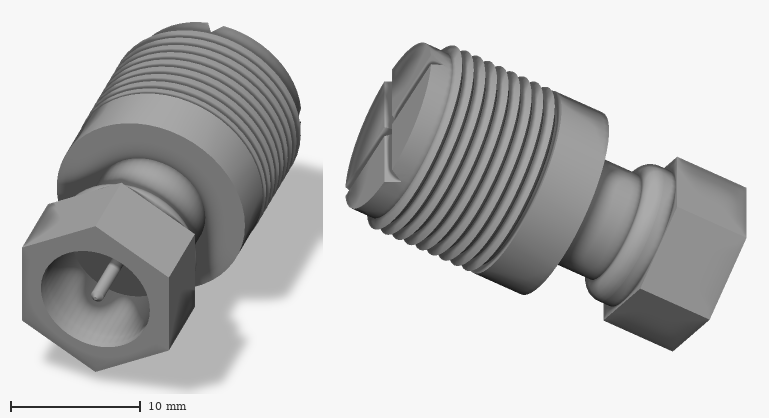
import cadquery as cq
import math


total_length = 28.17
hex_length = 6.08
shoulder_length = 1.01
dome_radius = 1.27
neck_length = 4.6
collar_length = 4.17

hex_flat_width = 12.0
shoulder_radius = 5.72
neck_radius = 4.45
collar_radius = 7.7
barrel_radius = 7.0

ring_count = 9
ring_pitch = 1.01
ring_crest_radius = 7.75
ring_flank_angle = 30.0
first_crest_setback = 2.3

notch_width = 1.27
notch_depth = 1.15

socket_radius = neck_radius
pin_radius = 0.5
pin_setback = 0.05
pin_tip_chamfer = 0.37

shoulder_end = hex_length + shoulder_length
neck_start = shoulder_end + dome_radius
collar_start = neck_start + neck_length
barrel_start = collar_start + collar_length
socket_depth = shoulder_end


def cylinder(radius, start, end):
    """Solid cylinder on the Y axis between two stations."""
    return cq.Workplane("XZ", origin=(0, start, 0)).circle(radius).extrude(start - end)


def revolve_about_y(profile):
    """Full turn of a (Y, Z) profile about the Y axis."""
    return profile.close().revolve(360, (0, 0, 0), (1, 0, 0))


def hex_nut():
    """Hexagonal nut with two corners on the Z axis."""
    corner_diameter = hex_flat_width / math.cos(math.pi / 6)
    hexagon = cq.Workplane("XZ").transformed(rotate=(0, 0, 90)).polygon(6, corner_diameter)
    return hexagon.extrude(-hex_length)


def domed_shoulder():
    """Round shoulder behind the nut, its back edge rounded down to the neck."""
    shoulder = cylinder(shoulder_radius, hex_length, neck_start)
    return shoulder.faces(">Y").edges().fillet(dome_radius)


def thread_ring(crest_position):
    """Disc with a triangular rim that stands proud of the barrel."""
    height = ring_crest_radius - barrel_radius
    half_width = height * math.tan(math.radians(ring_flank_angle))
    profile = (
        cq.Workplane("YZ")
        .moveTo(crest_position - half_width, 0)
        .lineTo(crest_position - half_width, barrel_radius)
        .lineTo(crest_position, ring_crest_radius)
        .lineTo(crest_position + half_width, barrel_radius)
        .lineTo(crest_position + half_width, 0)
    )
    return revolve_about_y(profile)


def notch_groove():
    """V groove across the back end, running along Z."""
    half_width = notch_width / 2
    return (
        cq.Workplane("XY")
        .moveTo(-half_width, total_length)
        .lineTo(0, total_length - notch_depth)
        .lineTo(half_width, total_length)
        .close()
        .extrude(ring_crest_radius, both=True)
    )


def centre_pin():
    """Pin standing on the socket floor, with a chamfered tip."""
    pin = cylinder(pin_radius, pin_setback, socket_depth)
    return pin.faces("<Y").edges().chamfer(pin_tip_chamfer)


body = (
    hex_nut()
    .union(domed_shoulder())
    .union(cylinder(neck_radius, shoulder_end, collar_start))
    .union(cylinder(collar_radius, collar_start, barrel_start))
    .union(cylinder(barrel_radius, barrel_start, total_length))
)

for index in range(ring_count):
    body = body.union(thread_ring(total_length - first_crest_setback - index * ring_pitch))

for angle in (0, 90):
    body = body.cut(notch_groove().rotate((0, 0, 0), (0, 1, 0), angle))

result = body.cut(cylinder(socket_radius, 0, socket_depth)).union(centre_pin())